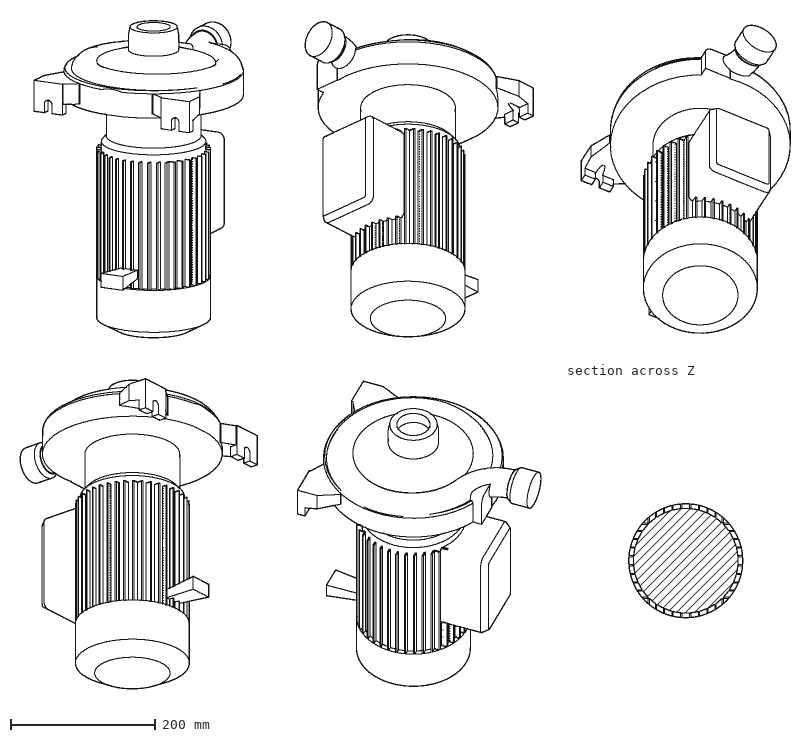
import cadquery as cq
import math

TOTAL_HEIGHT = 433.0
MOTOR_RADIUS = 79.2
BASE_RADIUS = 52.5
BASE_CONE_TOP = 15.0
FIN_BOTTOM = 75.5
FIN_TOP = 258.0
CORE_RADIUS = 72.7
COLLAR_CONE_BOTTOM = 268.5
COLLAR_CONE_TOP = 276.3
LANTERN_RADIUS = 66.0

FINS_PER_QUADRANT = 10
FIN_THICKNESS = 1.7

FLANGE_RADIUS = 250.0 / 2
FLANGE_BOTTOM = 335.0
FLANGE_RIM = 370.0
FLANGE_TOP = 374.0
FLANGE_BEVEL = 1.7
FLANGE_TOP_RADIUS = FLANGE_RADIUS - FLANGE_BEVEL
FLANGE_FLAT_WIDTH = 32.5

INLET_CONE_RADIUS = 95.3
INLET_CONE_BOTTOM = 379.0
INLET_CONE_TOP = 400.0
NECK_RADIUS = 35.0
NECK_TIP_RADIUS = 33.0
NECK_TAPER_BOTTOM = 421.5
INLET_BORE_RADIUS = 23.0
INLET_BORE_DEPTH = 17.0

TUBE_RADIUS = 20.5
VOLUTE_OFFSET = 5.0
VOLUTE_RADIUS = 98.7
VOLUTE_AXIS_Z = 371.0
VOLUTE_EXIT_ANGLE = 70
VOLUTE_EXIT_TURN = math.radians(VOLUTE_EXIT_ANGLE)

TONGUE_STATIONS = 4
TONGUE_END_TUBE_RADIUS = 14.0
TONGUE_END_VOLUTE_RADIUS = 94.5

BEND_START_X = VOLUTE_OFFSET + VOLUTE_RADIUS * math.cos(VOLUTE_EXIT_TURN)
BEND_RADIUS = BEND_START_X / (1 - math.cos(VOLUTE_EXIT_TURN))
BEND_CENTRE_Y = (VOLUTE_RADIUS + BEND_RADIUS) * math.sin(VOLUTE_EXIT_TURN)

FITTING_RADIUS = 26.0
FITTING_NECK_RADIUS = 21.5
FITTING_SHOULDER = 155.0
FITTING_END = 180.5

FOOT_FACE_Y = -124.3
FOOT_PLATE_THICKNESS = 11.3
FOOT_PLATE_BOTTOM = 325.5
FOOT_OUTER_X = 122.0
FOOT_INNER_X = 77.5
FOOT_STEP = 2.0
FOOT_SHOULDER_Y = -95.0
FOOT_OUTER_ROOT = (108.0, -65.5)
FOOT_INNER_ROOT = (58.5, -111.3)
FOOT_UNDERSIDE_REAR_Z = 352.0
FOOT_UNDERSIDE_FRONT_Z = 340.8
FOOT_SLOT_WIDTH = 11.5
FOOT_SLOT_TOP = 344.2

BLOCK_LEFT = 17.5
BLOCK_RIGHT = 56.0
BLOCK_REAR = 124.5
BLOCK_FRONT = 95.3
BLOCK_TOP = 383.0
BLOCK_FILLET = 11.0

BOX_WIDTH = 95.3
BOX_BOTTOM = 118.5
BOX_REAR = 129.0
BOX_FRONT = 58.5
BOX_FILLET = 10.5
BOX_BEVEL_LENGTH = 9.0
BOX_BEVEL_INSET = 7.0

LEG_Z = 95.5
LEG_END_Y = -123.5
LEG_ROOT_Y = -69.3
LEG_END_SIZE = (34.0, 20.0)
LEG_ROOT_SIZE = (25.0, 12.0)


def make_body():
    """Turned body: motor, lantern, flange, inlet cone and neck."""
    profile = [
        (0, 0),
        (BASE_RADIUS, 0),
        (MOTOR_RADIUS, BASE_CONE_TOP),
        (MOTOR_RADIUS, FIN_BOTTOM),
        (CORE_RADIUS, FIN_BOTTOM),
        (CORE_RADIUS, COLLAR_CONE_BOTTOM),
        (LANTERN_RADIUS, COLLAR_CONE_TOP),
        (LANTERN_RADIUS, FLANGE_BOTTOM),
        (FLANGE_RADIUS, FLANGE_BOTTOM),
        (FLANGE_RADIUS, FLANGE_RIM),
        (FLANGE_TOP_RADIUS, FLANGE_TOP),
        (INLET_CONE_RADIUS, FLANGE_TOP),
        (INLET_CONE_RADIUS, INLET_CONE_BOTTOM),
        (NECK_RADIUS, INLET_CONE_TOP),
        (NECK_RADIUS, NECK_TAPER_BOTTOM),
        (NECK_TIP_RADIUS, TOTAL_HEIGHT),
        (0, TOTAL_HEIGHT),
    ]
    body = cq.Workplane("XZ").polyline(profile).close().revolve(360, (0, 0), (0, 1))
    flat_y = -math.sqrt(FLANGE_RADIUS**2 - (FLANGE_FLAT_WIDTH / 2) ** 2)
    flat = cq.Workplane("XY").box(
        FLANGE_RADIUS, FLANGE_RADIUS, TOTAL_HEIGHT, centered=(True, False, False)
    ).translate((0, flat_y - FLANGE_RADIUS, 0))
    return body.cut(flat)


def make_fins():
    """Plates parallel to Y on the front and rear, parallel to X on the sides."""
    pitch = 90 / FINS_PER_QUADRANT
    height = FIN_TOP - FIN_BOTTOM
    plates = cq.Workplane("XY")
    for index in range(FINS_PER_QUADRANT):
        angle = math.radians((index + 0.5) * pitch - 45)
        offset = MOTOR_RADIUS * math.sin(angle)
        plates = plates.union(
            cq.Workplane("XY", origin=(offset, 0, FIN_BOTTOM))
            .rect(FIN_THICKNESS, 2 * MOTOR_RADIUS).extrude(height)
        ).union(
            cq.Workplane("XY", origin=(0, offset, FIN_BOTTOM))
            .rect(2 * MOTOR_RADIUS, FIN_THICKNESS).extrude(height)
        )
    envelope = cq.Workplane("XY", origin=(0, 0, FIN_BOTTOM)).circle(MOTOR_RADIUS).extrude(height)
    return plates.intersect(envelope)


def volute_point(radius, angle):
    """Point on a circle about the volute centre, angle in degrees from +X."""
    turn = math.radians(angle)
    return cq.Vector(VOLUTE_OFFSET + radius * math.cos(turn), radius * math.sin(turn), VOLUTE_AXIS_Z)


def make_volute():
    """Full-size part of the volute and the S-bend that leads to the outlet on X = 0."""
    start = volute_point(VOLUTE_RADIUS, 180)
    middle = volute_point(VOLUTE_RADIUS, (VOLUTE_EXIT_ANGLE - 180) / 2)
    bend_start = volute_point(VOLUTE_RADIUS, VOLUTE_EXIT_ANGLE)
    half_turn = VOLUTE_EXIT_TURN / 2
    bend_middle = cq.Vector(
        BEND_RADIUS * (1 - math.cos(half_turn)),
        BEND_CENTRE_Y - BEND_RADIUS * math.sin(half_turn),
        VOLUTE_AXIS_Z,
    )
    bend_end = cq.Vector(0, BEND_CENTRE_Y, VOLUTE_AXIS_Z)
    path = cq.Wire.assembleEdges([
        cq.Edge.makeThreePointArc(start, middle, bend_start),
        cq.Edge.makeThreePointArc(bend_start, bend_middle, bend_end),
    ])
    section = cq.Workplane(cq.Plane(start, (1, 0, 0), (0, -1, 0)))
    return section.circle(TUBE_RADIUS).sweep(cq.Workplane(path))


def make_tongue():
    """Start of the volute: the tube shrinks from half-way round to the outlet bend."""
    sections = []
    for station in range(TONGUE_STATIONS + 1):
        share = station / TONGUE_STATIONS
        angle = 180 + share * (VOLUTE_EXIT_ANGLE - 180)
        turn = math.radians(angle)
        tube_radius = TUBE_RADIUS + share * (TONGUE_END_TUBE_RADIUS - TUBE_RADIUS)
        path_radius = VOLUTE_RADIUS + share * (TONGUE_END_VOLUTE_RADIUS - VOLUTE_RADIUS)
        heading = cq.Vector(math.sin(turn), -math.cos(turn), 0)
        sections.append(cq.Wire.makeCircle(tube_radius, volute_point(path_radius, angle), heading))
    return cq.Workplane(cq.Solid.makeLoft(sections))


def make_fitting():
    """Outlet fitting with a conical shoulder, turned about the outlet axis."""
    profile = [
        (0, BEND_CENTRE_Y),
        (FITTING_NECK_RADIUS, BEND_CENTRE_Y),
        (FITTING_RADIUS, FITTING_SHOULDER),
        (FITTING_RADIUS, FITTING_END),
        (0, FITTING_END),
    ]
    outline = cq.Workplane("XY", origin=(0, 0, VOLUTE_AXIS_Z)).polyline(profile).close()
    return outline.revolve(360, (0, 0), (0, 1))


def make_foot():
    """Foot on the +X side: sloped gusset with a slotted plate at its face."""
    plan = [
        (0, FOOT_OUTER_ROOT[1]),
        FOOT_OUTER_ROOT,
        (FOOT_OUTER_X, FOOT_SHOULDER_Y),
        (FOOT_OUTER_X, FOOT_FACE_Y),
        (FOOT_INNER_X, FOOT_FACE_Y),
        (FOOT_INNER_X, FOOT_FACE_Y + FOOT_STEP),
        FOOT_INNER_ROOT,
        (0, FOOT_INNER_ROOT[1]),
    ]
    plate_rear_y = FOOT_FACE_Y + FOOT_PLATE_THICKNESS
    side = [
        (FOOT_OUTER_ROOT[1], FLANGE_RIM),
        (FOOT_OUTER_ROOT[1], FOOT_UNDERSIDE_REAR_Z),
        (plate_rear_y, FOOT_UNDERSIDE_FRONT_Z),
        (FOOT_FACE_Y, FOOT_UNDERSIDE_FRONT_Z),
        (FOOT_FACE_Y, FLANGE_RIM),
    ]
    plan_prism = cq.Workplane("XY").polyline(plan).close().extrude(TOTAL_HEIGHT)
    side_prism = cq.Workplane("YZ").polyline(side).close().extrude(FOOT_OUTER_X)
    plate = cq.Workplane("XY").box(
        FOOT_OUTER_X - FOOT_INNER_X,
        FOOT_PLATE_THICKNESS,
        FLANGE_RIM - FOOT_PLATE_BOTTOM,
        centered=False,
    ).translate((FOOT_INNER_X, FOOT_FACE_Y, FOOT_PLATE_BOTTOM))

    slot_radius = FOOT_SLOT_WIDTH / 2
    slot_arc_z = FOOT_SLOT_TOP - slot_radius
    slot_x = (FOOT_OUTER_X + FOOT_INNER_X) / 2
    slot = (
        cq.Workplane("XZ")
        .moveTo(slot_x - slot_radius, FOOT_PLATE_BOTTOM)
        .lineTo(slot_x - slot_radius, slot_arc_z)
        .threePointArc((slot_x, FOOT_SLOT_TOP), (slot_x + slot_radius, slot_arc_z))
        .lineTo(slot_x + slot_radius, FOOT_PLATE_BOTTOM)
        .close()
        .extrude(-2 * FOOT_FACE_Y, both=True)
    )
    return plan_prism.intersect(side_prism).union(plate).cut(slot)


def make_block():
    """Block at the flange edge beside the outlet, its outer top edge rounded."""
    block = cq.Workplane("XY").box(
        BLOCK_RIGHT - BLOCK_LEFT,
        BLOCK_REAR - BLOCK_FRONT,
        BLOCK_TOP - FLANGE_BOTTOM,
        centered=False,
    ).translate((BLOCK_LEFT, BLOCK_FRONT, FLANGE_BOTTOM))
    return block.edges(">X and >Z").fillet(BLOCK_FILLET)


def make_terminal_box():
    """Terminal box on the rear of the motor with rounded corners and a bevelled lid."""
    height = FIN_TOP - BOX_BOTTOM
    centre_z = (FIN_TOP + BOX_BOTTOM) / 2
    outward = cq.Plane(origin=(0, BOX_FRONT, centre_z), xDir=(-1, 0, 0), normal=(0, 1, 0))
    lid_start = BOX_REAR - BOX_BEVEL_LENGTH - BOX_FRONT
    bevel_taper = math.degrees(math.atan(BOX_BEVEL_INSET / BOX_BEVEL_LENGTH))
    outline = cq.Sketch().rect(BOX_WIDTH, height).vertices().fillet(BOX_FILLET)
    case = cq.Workplane(outward).placeSketch(outline).extrude(lid_start)
    lid = (
        cq.Workplane(outward)
        .workplane(offset=lid_start)
        .placeSketch(outline)
        .extrude(BOX_BEVEL_LENGTH, taper=bevel_taper)
    )
    return case.union(lid)


def make_leg():
    """Support leg near the bottom of the motor, widening outwards."""
    return (
        cq.Workplane("XZ", origin=(0, LEG_ROOT_Y, LEG_Z))
        .rect(*LEG_ROOT_SIZE)
        .workplane(offset=LEG_ROOT_Y - LEG_END_Y)
        .rect(*LEG_END_SIZE)
        .loft()
    )


foot = make_foot()
result = (
    make_body()
    .union(make_fins())
    .union(make_volute())
    .union(make_tongue())
    .union(make_fitting())
    .union(foot)
    .union(foot.mirror("YZ"))
    .union(make_block())
    .union(make_terminal_box())
    .union(make_leg())
)

result = result.cut(
    cq.Workplane("XY", origin=(0, 0, TOTAL_HEIGHT))
    .circle(INLET_BORE_RADIUS)
    .extrude(-INLET_BORE_DEPTH)
)